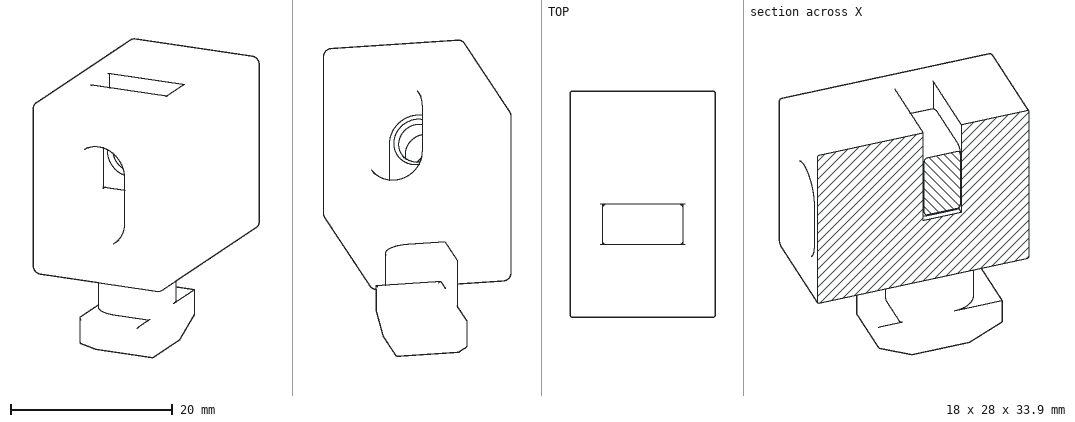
import cadquery as cq


total_height = 33.9
block_width = 18.0
block_depth = 28.0
block_height = 22.48
block_long_edge_radius = 1.02
small_edge_radius = 0.3
pocket_rim_radius = 0.25
block_bottom = total_height - block_height
block_middle = block_bottom + block_height / 2

slot_width = 7.02
slot_height = 13.0
slot_arc_offset = (slot_height - slot_width) / 2

nut_size = 10.0
nut_thickness = 5.02
nut_corner_radius = 1.5
nut_edge_radius = 0.5
nut_hole_diameter = 4.9
nut_countersink = 0.5
nut_middle = block_middle + slot_arc_offset
nut_bottom = nut_middle - nut_size / 2

pocket_axis_y = -2.5
foot_axis_y = -2.6

foot_width = 8.2
neck_depth = 10.78
neck_round_radius = 3.6
head_depth = 16.4
head_height = 5.42
head_flat_depth = 7.6
head_taper_height = 2.07


def make_box(width, depth, height, bottom):
    """Box centred on X = 0, Y = 0 with its underside at the given height."""
    return (
        cq.Workplane("XY")
        .workplane(offset=bottom)
        .rect(width, depth)
        .extrude(height)
    )


def make_block():
    block = make_box(block_width, block_depth, block_height, block_bottom)
    block = block.edges("|Y").fillet(block_long_edge_radius)
    return block.faces("<Y or >Y").edges().fillet(small_edge_radius)


def cut_screw_slot(block):
    """Upright round-ended slot with rounded mouths."""
    slotted = (
        block.faces("<Y")
        .workplane(origin=(0, 0, block_middle))
        .slot2D(slot_height, slot_width, angle=90)
        .cutThruAll()
    )
    half_width = block_width / 2 - 2 * block_long_edge_radius
    half_height = block_height / 2 - 2 * block_long_edge_radius
    mouth_region = cq.selectors.BoxSelector(
        (-half_width, -block_depth, block_middle - half_height),
        (half_width, block_depth, block_middle + half_height),
    )
    return slotted.faces("<Y or >Y").edges(mouth_region).fillet(small_edge_radius)


def cut_nut_pocket(block):
    """Pocket open at the top, its two short rim edges rounded."""
    pocket = make_box(nut_size, nut_thickness, total_height - nut_bottom, nut_bottom)
    block = block.cut(pocket.translate((0, pocket_axis_y, 0)))
    rim_region = cq.selectors.BoxSelector(
        (-nut_size, pocket_axis_y - nut_thickness, total_height - small_edge_radius),
        (nut_size, pocket_axis_y + nut_thickness, total_height + small_edge_radius),
    )
    return block.faces(">Z").edges("|Y").edges(rim_region).fillet(pocket_rim_radius)


def make_neck():
    """Neck with two diagonally opposite corners rounded for the quarter turn."""
    neck = make_box(foot_width, neck_depth, block_bottom - head_height, head_height)
    for corner in ("<X and <Y", ">X and >Y"):
        neck = neck.edges("|Z").edges(corner).fillet(neck_round_radius)
    for corner in ("<X and >Y", ">X and <Y"):
        neck = neck.edges("|Z").edges(corner).fillet(small_edge_radius)
    return neck


def make_head():
    """Tapered head; all edges are rounded but the two long upper ones."""
    head = (
        cq.Workplane("YZ")
        .moveTo(-head_flat_depth / 2, 0)
        .lineTo(head_flat_depth / 2, 0)
        .lineTo(head_depth / 2, head_taper_height)
        .lineTo(head_depth / 2, head_height)
        .lineTo(-head_depth / 2, head_height)
        .lineTo(-head_depth / 2, head_taper_height)
        .close()
        .extrude(foot_width / 2, both=True)
    )
    return head.edges("not (|Y and >Z)").fillet(small_edge_radius)


def make_housing():
    block = cut_nut_pocket(cut_screw_slot(make_block()))
    foot = make_head().union(make_neck()).translate((0, foot_axis_y, 0))
    return block.union(foot)


def make_nut():
    """Square nut with rounded corners and a hole countersunk on both faces."""
    nut = (
        cq.Workplane("XZ")
        .rect(nut_size, nut_size)
        .extrude(nut_thickness / 2, both=True)
        .edges("|Y").fillet(nut_corner_radius)
        .faces("<Y or >Y").edges().fillet(nut_edge_radius)
        .faces("<Y").workplane().hole(nut_hole_diameter)
        .edges("%CIRCLE").edges(cq.selectors.RadiusNthSelector(-1))
        .chamfer(nut_countersink)
    )
    return nut.translate((0, pocket_axis_y, nut_middle))


housing = make_housing()
nut = make_nut()

result = cq.Compound.makeCompound([housing.val(), nut.val()])